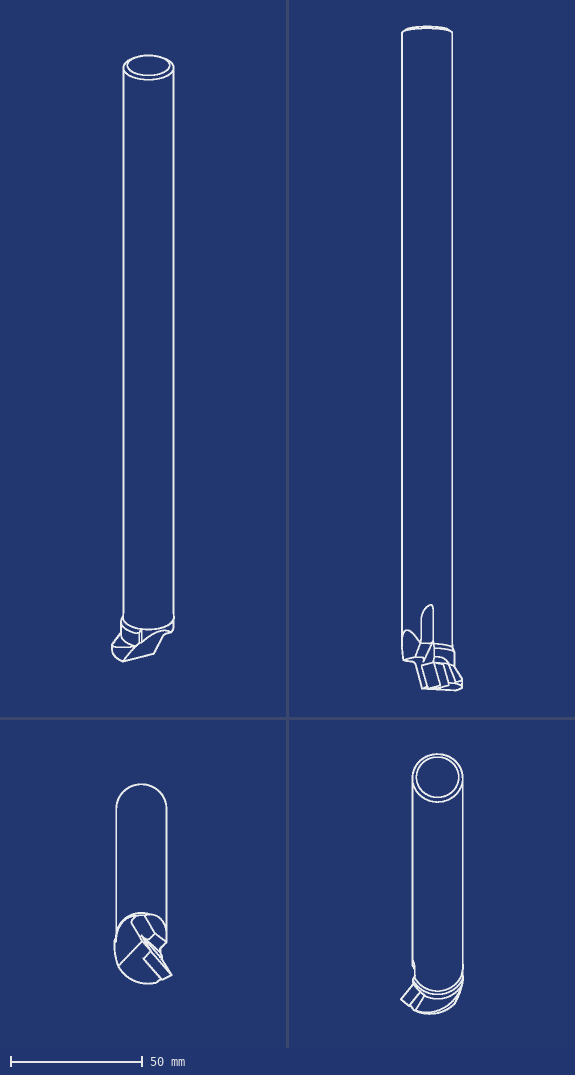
import cadquery as cq
import math

overall_length = 255.2
shank_diameter = 19.1
shank_radius = shank_diameter / 2
top_chamfer_width = 1.5
top_chamfer_height = 1.0

swell_start_z = 19.1
swell_end_z = 17.0
swell_radius = 9.7
collar_top_z = 15.3
collar_radius = 10.5
flare_start_z = 9.7
flare_slope = 0.62
head_bottom_z = 1.5
head_envelope_radius = 12.8
head_envelope_center = (-3.0, 0.38)
collar_side_x = 7.0

relief_start_z = 15.8
relief_run_per_drop = 0.59

tip_x = -16.0
tip_y = -0.13
rake_tilt = 6.0
insert_side = 11.7
insert_corner_angle = 55.0
end_edge_angle = 3.0
insert_thickness = 4.0
clearance_angle = 7.0
nose_radius = 0.3
side_edge_angle = end_edge_angle + insert_corner_angle

nose_center_distance = nose_radius / math.sin(math.radians(insert_corner_angle / 2))
nose_center_angle = math.radians(end_edge_angle + insert_corner_angle / 2)
tip_z = nose_radius - nose_center_distance * math.sin(nose_center_angle)

seat_inset = 0.5
seat_ramp_height = 2.0

gullet_floor_x = -8.2
gullet_run_out_z = 26.0
gullet_end_z = 32.5
gullet_corner_radius = 1.3
heel_near_z = 17.4
heel_drop_per_run = 0.7
heel_bottom_z = 13.0
heel_face_normal = (-0.3, 1.0, -0.4)
heel_face_point = (0.0, shank_radius, 22.0)

reach = 51.0


def rake_plane():
    """Workplane at the tip: local x along the rake face, local y up Z, normal towards -Y."""
    direction = (math.cos(math.radians(rake_tilt)), math.sin(math.radians(rake_tilt)), 0)
    normal = (direction[1], -direction[0], 0)
    return cq.Workplane(cq.Plane(origin=(tip_x, tip_y, tip_z), xDir=direction, normal=normal))


def polar(angle, length):
    """Offset of the given length at an angle in degrees from the horizontal."""
    return (length * math.cos(math.radians(angle)), length * math.sin(math.radians(angle)))


def make_insert():
    """Rhombic insert with clearance on every flank and rounded corners."""
    end_x, end_z = polar(end_edge_angle, insert_side)
    side_x, side_z = polar(side_edge_angle, insert_side)
    outline = [(0, 0), (end_x, end_z), (end_x + side_x, end_z + side_z), (side_x, side_z)]
    base = rake_plane()
    body = base.polyline(outline).close().extrude(insert_thickness, taper=clearance_angle)
    flat_edges = cq.selectors.PerpendicularDirSelector(base.plane.zDir)
    return body.edges(cq.selectors.InverseSelector(flat_edges)).fillet(nose_radius)


def make_shank():
    """Round bar with a chamfered top end and a slight swell above the collar."""
    profile = [
        (0, head_bottom_z),
        (shank_radius, head_bottom_z),
        (shank_radius, swell_end_z),
        (swell_radius, swell_end_z),
        (shank_radius, swell_start_z),
        (shank_radius, overall_length - top_chamfer_height),
        (shank_radius - top_chamfer_width, overall_length),
        (0, overall_length),
    ]
    return cq.Workplane("XZ").polyline(profile).close().revolve(360, (0, 0), (0, 1))


def make_collar():
    """Collar and flare of the head, trimmed to an eccentric cylinder and a flat side."""
    flare_end_radius = collar_radius + flare_slope * (flare_start_z - head_bottom_z)
    profile = [
        (0, head_bottom_z),
        (flare_end_radius, head_bottom_z),
        (collar_radius, flare_start_z),
        (collar_radius, collar_top_z),
        (swell_radius, swell_end_z),
        (0, swell_end_z),
    ]
    collar = cq.Workplane("XZ").polyline(profile).close().revolve(360, (0, 0), (0, 1))
    envelope = cq.Workplane("XY").center(*head_envelope_center).circle(head_envelope_radius).extrude(reach)
    side = cq.Workplane("XY").box(reach, reach, reach).translate((collar_side_x - reach / 2, 0, 0))
    front = rake_plane().rect(2 * reach, 2 * reach).extrude(reach)
    return collar.intersect(envelope).intersect(side).intersect(front)


def relief_cut():
    """Wedge below the sloped relief plane on the +X side."""
    drop = reach / relief_run_per_drop
    outline = [
        (shank_radius + reach * relief_run_per_drop, relief_start_z + reach),
        (shank_radius + reach * relief_run_per_drop, relief_start_z - drop),
        (shank_radius - drop * relief_run_per_drop, relief_start_z - drop),
    ]
    return cq.Workplane("XZ").polyline(outline).close().extrude(reach, both=True)


def seat_flank_cut():
    """Relief of the bar along the insert's side edge, closed by a ramp above it."""
    side_x, side_z = polar(side_edge_angle, insert_side)
    inset_x = seat_inset / math.sin(math.radians(side_edge_angle))
    outline = [
        (inset_x, 0),
        (side_x + inset_x, side_z),
        (side_x - inset_x, side_z + seat_ramp_height),
        (-reach, side_z + seat_ramp_height),
        (-reach, 0),
    ]
    return rake_plane().polyline(outline).close().extrude(reach, both=True)


def behind_rake():
    """Space on the +Y side of the rake plane."""
    return rake_plane().rect(2 * reach, 2 * reach).extrude(-reach)


def round_rake_corner(cutter, near_z):
    """Cutter with its long corner on the rake plane rounded, found by a point close to it."""
    corner = cq.selectors.NearestToPointSelector((gullet_floor_x, 0, near_z))
    return cutter.edges(corner).fillet(gullet_corner_radius)


def gullet_cut():
    """Shallow chip groove that runs out of the bar in an arc, with a rounded upper corner."""
    rise = shank_radius - abs(gullet_floor_x)
    run = gullet_end_z - gullet_run_out_z
    arc_radius = (run**2 + rise**2) / (2 * rise)
    half_angle = math.atan2(run, arc_radius - rise) / 2
    middle = (
        gullet_floor_x - arc_radius * (1 - math.cos(half_angle)),
        gullet_run_out_z + arc_radius * math.sin(half_angle),
    )
    groove = (
        cq.Workplane("XZ")
        .moveTo(gullet_floor_x, 0)
        .lineTo(gullet_floor_x, gullet_run_out_z)
        .threePointArc(middle, (-shank_radius, gullet_end_z))
        .lineTo(-reach, gullet_end_z)
        .lineTo(-reach, 0)
        .close()
        .extrude(reach, both=True)
    )
    return round_rake_corner(groove.intersect(behind_rake()), gullet_run_out_z / 2)


def heel_cut():
    """Space under the heel, sloping down from the gullet floor to a level end, behind the rake plane."""
    slope_run = (heel_near_z - heel_bottom_z) / heel_drop_per_run
    outline = [
        (gullet_floor_x - reach, heel_near_z + heel_drop_per_run * reach),
        (gullet_floor_x + slope_run, heel_bottom_z),
        (reach, heel_bottom_z),
        (reach, -reach),
        (gullet_floor_x - reach, -reach),
    ]
    wedge = cq.Workplane("XZ").polyline(outline).close().extrude(reach, both=True)
    return round_rake_corner(wedge.intersect(behind_rake()), heel_near_z)


def heel_face_cut():
    """Inclined flat on the +Y side of the heel."""
    plane = cq.Plane(origin=heel_face_point, normal=heel_face_normal)
    return cq.Workplane(plane).rect(reach, reach).extrude(reach).intersect(behind_rake())


insert = make_insert()

bar = make_shank().union(make_collar())
for cutter in (relief_cut(), seat_flank_cut(), gullet_cut(), heel_cut(), heel_face_cut(), insert):
    bar = bar.cut(cutter)

result = cq.Compound.makeCompound([bar.val(), insert.val()])